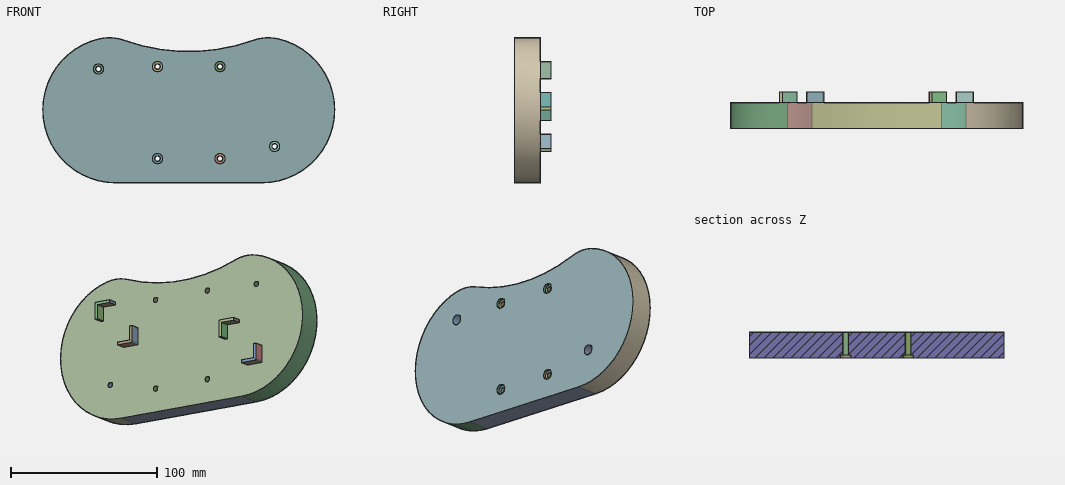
import cadquery as cq
import math

lobe_radius = 50.0
lobe_offset = 50.0
plate_thickness = 17.8
shoulder_radius = 30.0
hollow_radius = 131.0
hollow_bottom_z = 40.0

seat_width = 30.5
seat_height = 33.2
clip_length = 12.0
clip_wall = 2.0
clip_corner_radius = 0.8
clip_height = 7.4
seat_lower_left_corners = [(-66.5, -28.5), (35.8, 0.0)]

hole_diameter = 3.5
counterbore_diameter = 7.0
grid_half_width = 21.4
grid_top_z = 29.5
grid_bottom_z = -33.4
shallow_depth = 2.0
deep_depth = 12.0
grid_holes = [(x, z) for x in (-grid_half_width, grid_half_width) for z in (grid_bottom_z, grid_top_z)]
side_holes = [(-61.8, 28.0), (58.8, -25.0)]


def point_towards(start, end, distance):
    """Point at a given distance from start on the line through start and end."""
    length = math.dist(start, end)
    return tuple(a + (b - a) * distance / length for a, b in zip(start, end))


def front_plane(y):
    """Sketch plane at depth y with local axes X and Z; its normal points to -Y."""
    return cq.Workplane("XZ", origin=(0, y, 0))


def make_plate():
    lobe_center = (lobe_offset, 0.0)
    hollow_center = (0.0, hollow_bottom_z + hollow_radius)

    lobe_distance = lobe_radius - shoulder_radius
    hollow_distance = hollow_radius + shoulder_radius
    span = math.dist(lobe_center, hollow_center)
    cosine = (lobe_distance**2 + span**2 - hollow_distance**2) / (2 * lobe_distance * span)
    direction = math.atan2(hollow_center[1], -lobe_offset) - math.acos(cosine)
    shoulder_center = (
        lobe_offset + lobe_distance * math.cos(direction),
        lobe_distance * math.sin(direction),
    )

    lobe_end = point_towards(lobe_center, shoulder_center, lobe_radius)
    hollow_end = point_towards(hollow_center, shoulder_center, hollow_radius)
    shoulder_top = (shoulder_center[0], shoulder_center[1] + shoulder_radius)

    def mirrored(point):
        return (-point[0], point[1])

    return (
        front_plane(0)
        .moveTo(-lobe_offset, -lobe_radius)
        .lineTo(lobe_offset, -lobe_radius)
        .threePointArc((lobe_offset + lobe_radius, 0), lobe_end)
        .threePointArc(shoulder_top, hollow_end)
        .threePointArc((0, hollow_bottom_z), mirrored(hollow_end))
        .threePointArc(mirrored(shoulder_top), mirrored(lobe_end))
        .threePointArc((-lobe_offset - lobe_radius, 0), (-lobe_offset, -lobe_radius))
        .close()
        .extrude(-plate_thickness)
    )


def make_clip(corner, inward):
    """L-shaped clip with its outer corner at the given X, Z; inward is +1 or -1 along both axes."""
    x, z = corner
    length = inward * clip_length
    wall = inward * clip_wall
    outline = [(0, 0), (length, 0), (length, wall), (wall, wall), (wall, length), (0, length)]
    clip = (
        front_plane(plate_thickness)
        .polyline([(x + dx, z + dz) for dx, dz in outline])
        .close()
        .extrude(-clip_height)
    )
    outer_edge = cq.selectors.NearestToPointSelector((x, plate_thickness + clip_height / 2, z))
    return clip.edges("|Y").edges(outer_edge).fillet(clip_corner_radius)


def drill(body, centers, counterbore_depth):
    bores = front_plane(0).pushPoints(centers).circle(hole_diameter / 2).extrude(-plate_thickness)
    counterbores = (
        front_plane(0).pushPoints(centers).circle(counterbore_diameter / 2).extrude(-counterbore_depth)
    )
    return body.cut(bores).cut(counterbores)


result = make_plate()
for left, bottom in seat_lower_left_corners:
    result = result.union(make_clip((left, bottom), 1))
    result = result.union(make_clip((left + seat_width, bottom + seat_height), -1))
result = drill(result, grid_holes, shallow_depth)
result = drill(result, side_holes, deep_depth)